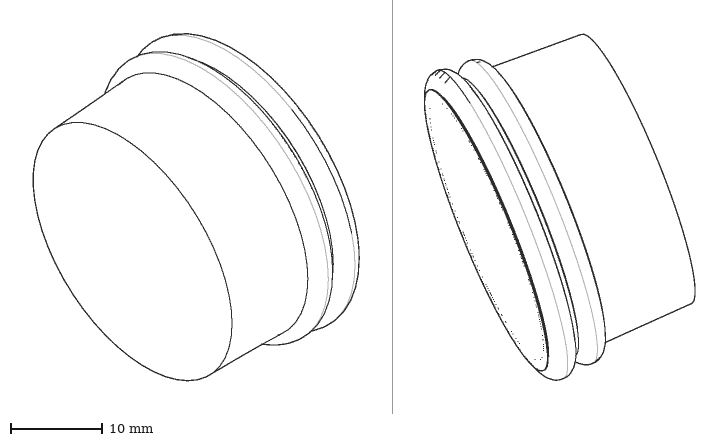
import cadquery as cq

plug_length = 18.05
front_radius = 16.0
back_radius = 16.65

cord_radius = 1.5
outer_radii = (18.3, 17.95)
first_ring_setback = 1.72
ring_spacing = 3.7
groove_clearance = 0.1
cord_sink = 0.1


def tapered_plug():
    half_section = cq.Workplane("XY").polyline(
        [(0, -plug_length), (front_radius, -plug_length), (back_radius, 0), (0, 0)]
    ).close()
    return half_section.revolve(360, (0, 0, 0), (0, 1, 0))


def groove(outer_radius, setback):
    """Square channel open to the outside, its floor cutting slightly into the cord's inner side."""
    floor_radius = outer_radius - 2 * cord_radius + cord_sink
    groove_width = 2 * (cord_radius + groove_clearance)
    back_wall = cq.Workplane("XZ", origin=(0, groove_width / 2 - setback, 0))
    return back_wall.circle(outer_radius).circle(floor_radius).extrude(groove_width)


def sealing_ring(outer_radius, setback):
    """Ring of round cord, its centre plane set back from the wide face."""
    cord_section = cq.Workplane("XY").moveTo(outer_radius - cord_radius, -setback).circle(cord_radius)
    return cord_section.revolve(360, (0, 0, 0), (0, 1, 0))


result = tapered_plug()
for index, outer_radius in enumerate(outer_radii):
    setback = first_ring_setback + index * ring_spacing
    result = result.cut(groove(outer_radius, setback))
    result = result.union(sealing_ring(outer_radius, setback))